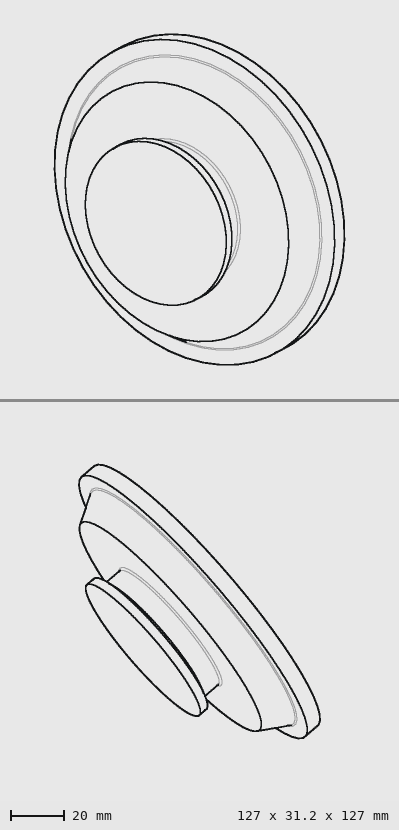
import cadquery as cq
import math

FLANGE_RADIUS = 63.5
CONE_BASE_RADIUS = 57.15
NECK_RADIUS = 27.9
FERRULE_RADIUS = 31.95

TOTAL_LENGTH = 31.24
FLANGE_THICKNESS = 6.35
CONE_LENGTH = 11.3
FERRULE_RIM_WIDTH = 3.6

CONE_HALF_ANGLE = math.radians(30)
FERRULE_BACK_ANGLE = math.radians(20)
ROOT_FILLET = 0.76

cone_end_depth = FLANGE_THICKNESS + CONE_LENGTH
cone_end_radius = CONE_BASE_RADIUS - CONE_LENGTH * math.tan(CONE_HALF_ANGLE)
rim_start_depth = TOTAL_LENGTH - FERRULE_RIM_WIDTH
ferrule_back_length = (FERRULE_RADIUS - NECK_RADIUS) * math.tan(FERRULE_BACK_ANGLE)
neck_end_depth = rim_start_depth - ferrule_back_length


def revolved_body():
    """Flange, cone, neck and ferrule as one half profile, given as (y, radius), turned about Y."""
    outline = [
        (0, 0),
        (0, FLANGE_RADIUS),
        (-FLANGE_THICKNESS, FLANGE_RADIUS),
        (-FLANGE_THICKNESS, CONE_BASE_RADIUS),
        (-cone_end_depth, cone_end_radius),
        (-cone_end_depth, NECK_RADIUS),
        (-neck_end_depth, NECK_RADIUS),
        (-rim_start_depth, FERRULE_RADIUS),
        (-TOTAL_LENGTH, FERRULE_RADIUS),
        (-TOTAL_LENGTH, 0),
    ]
    profile = cq.Workplane("YZ").polyline(outline).close()
    return profile.revolve(360, (0, 0, 0), (1, 0, 0))


def root_edge_selector(radius, depth):
    """Thin box around the full circle of the given radius, narrow enough to hold only that circle."""
    margin = 0.1
    reach = radius + margin
    return cq.selectors.BoxSelector(
        (-reach, -depth - margin, -reach),
        (reach, -depth + margin, reach),
        boundingbox=True,
    )


def blend_roots(body):
    """Fillet the inside corners where the cone meets the flange and the neck meets the cone."""
    roots = [(CONE_BASE_RADIUS, FLANGE_THICKNESS), (NECK_RADIUS, cone_end_depth)]
    for radius, depth in roots:
        body = body.edges(root_edge_selector(radius, depth)).fillet(ROOT_FILLET)
    return body


result = blend_roots(revolved_body())